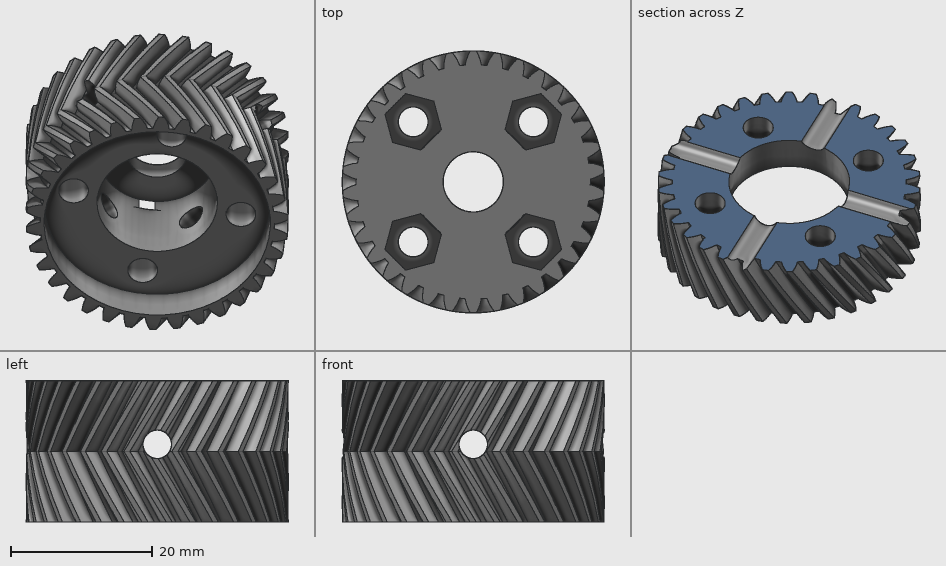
import cadquery as cq
import math

tip_diameter = 37.07
height = 20.0
half_height = height / 2

tooth_count = 34
module = tip_diameter / (tooth_count + 2)
pitch_radius = module * tooth_count / 2
tip_radius = tip_diameter / 2
root_radius = 16.57
pressure_angle = math.radians(22.5)
base_radius = pitch_radius * math.cos(pressure_angle)
tooth_pitch = 2 * math.pi / tooth_count
tooth_thickening = 0.2
half_twist = 18.7

bore_diameter = 8.5
bore_length = 3.0
seat_diameter = 17.0

recess_diameter = 32.0
recess_depth = 5.0

bolt_count = 4
bolt_circle_radius = 12.0
bolt_diameter = 4.2
nut_sides = 6
nut_across_flats = 7.15
nut_corner_diameter = nut_across_flats / math.cos(math.pi / nut_sides)
nut_depth = 5.0

cross_hole_diameter = 4.0
cross_hole_z = (recess_depth + height - bore_length) / 2


def polar(radius, angle):
    return radius * math.cos(angle), radius * math.sin(angle)


def involute(radius):
    """Polar angle swept by an involute from the base circle out to a radius."""
    roll = math.acos(base_radius / radius)
    return math.tan(roll) - roll


def half_tooth_angle(radius):
    """Half of the angle a tooth fills at a radius."""
    pitch_half = tooth_pitch / 4 + tooth_thickening / 2 / pitch_radius
    return pitch_half + involute(pitch_radius) - involute(radius)


def gear_profile():
    """Closed outline of the gear with a tooth gap centred on the X axis."""
    mid_radius = (root_radius + tip_radius) / 2
    root_half = half_tooth_angle(root_radius)
    mid_half = half_tooth_angle(mid_radius)
    tip_half = half_tooth_angle(tip_radius)
    profile = cq.Workplane("XY").moveTo(*polar(root_radius, tooth_pitch / 2 - root_half))
    for index in range(tooth_count):
        center = (index + 0.5) * tooth_pitch
        gap_center = center + tooth_pitch / 2
        next_root = center + tooth_pitch - root_half
        profile = (
            profile.threePointArc(polar(mid_radius, center - mid_half), polar(tip_radius, center - tip_half))
            .threePointArc(polar(tip_radius, center), polar(tip_radius, center + tip_half))
            .threePointArc(polar(mid_radius, center + mid_half), polar(root_radius, center + root_half))
            .threePointArc(polar(root_radius, gap_center), polar(root_radius, next_root))
        )
    return profile.close()


def herringbone_blank():
    lower = gear_profile().twistExtrude(half_height, -half_twist)
    upper = lower.mirror("XY", (0, 0, half_height))
    return lower.union(upper)


def center_cuts():
    bore = cq.Workplane("XY").circle(bore_diameter / 2).extrude(height)
    seat = cq.Workplane("XY").circle(seat_diameter / 2).extrude(height - bore_length)
    recess = cq.Workplane("XY").circle(recess_diameter / 2).extrude(recess_depth)
    return bore.union(seat).union(recess)


def bolt_cut(angle):
    """Through hole and nut pocket, with one flat of the hexagon facing the gear axis."""
    hole = cq.Workplane("XY").circle(bolt_diameter / 2).extrude(height)
    pocket = (
        cq.Workplane("XY", origin=(0, 0, height - nut_depth))
        .transformed(rotate=(0, 0, 180 / nut_sides))
        .polygon(nut_sides, nut_corner_diameter)
        .extrude(nut_depth)
    )
    return hole.union(pocket).translate((bolt_circle_radius, 0, 0)).rotate((0, 0, 0), (0, 0, 1), angle)


def cross_hole(plane):
    center = (0, 0, cross_hole_z)
    return cq.Workplane(plane, origin=center).circle(cross_hole_diameter / 2).extrude(tip_diameter, both=True)


result = herringbone_blank().cut(center_cuts())
for index in range(bolt_count):
    result = result.cut(bolt_cut((index + 0.5) * 360 / bolt_count))
for plane in ("XZ", "YZ"):
    result = result.cut(cross_hole(plane))